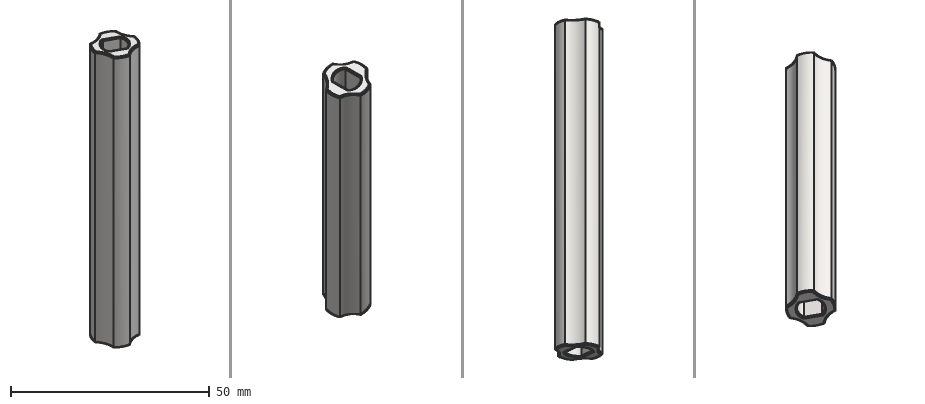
import cadquery as cq
import math

length = 87.5
outer_diameter = 12.5
edge_chamfer = 0.31

flute_count = 4
flute_radius = 6.1
lobe_width = 4.4

bore_diameter = 7.0
bore_across_flats = 5.2

outer_radius = outer_diameter / 2
bore_radius = bore_diameter / 2


def flute_center_distance():
    """Distance from the rod axis to a flute's center, so that its arc ends on the lobe edges."""
    lobe_half_angle = math.asin(lobe_width / 2 / outer_radius)
    flute_half_angle = math.pi / flute_count - lobe_half_angle
    half_chord = outer_radius * math.sin(flute_half_angle)
    chord_distance = outer_radius * math.cos(flute_half_angle)
    return chord_distance + math.sqrt(flute_radius**2 - half_chord**2)


def fluted_rod():
    first_flute_angle = 180 / flute_count
    flutes = (
        cq.Workplane("XY")
        .polarArray(flute_center_distance(), first_flute_angle, 360, flute_count)
        .circle(flute_radius)
        .extrude(length)
    )
    return cq.Workplane("XY").circle(outer_radius).extrude(length).cut(flutes)


def double_d_bore():
    slab = cq.Workplane("XY").rect(bore_across_flats, bore_diameter).extrude(length)
    return cq.Workplane("XY").circle(bore_radius).extrude(length).intersect(slab)


result = fluted_rod().cut(double_d_bore()).faces("<Z or >Z").chamfer(edge_chamfer)